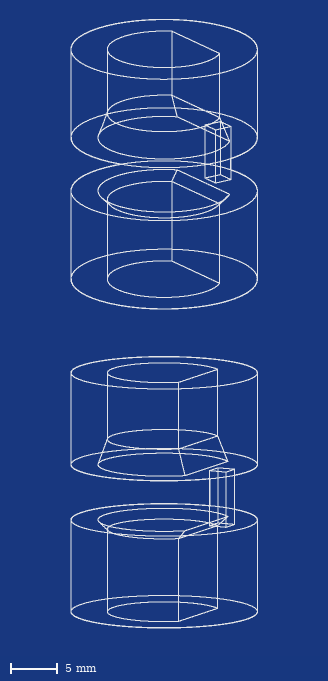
import cadquery as cq

ring_diameter = 20.0
ring_height = 10.0
ring_gap = 6.0
bore_diameter = 12.2
flat_offset = 4.1
mouth_widening = 1.0
lower_mouth_depth = 1.0
upper_mouth_depth = 2.75
bridge_width = 2.0
bridge_center_y = 7.0

bore_radius = bore_diameter / 2
mouth_radius = bore_radius + mouth_widening
mouth_flat_offset = flat_offset + mouth_widening
upper_ring_base = ring_height + ring_gap
total_height = upper_ring_base + ring_height


def ring_blank(base_z):
    """Solid disc standing on base_z, before the bore is cut."""
    return cq.Workplane("XY").workplane(offset=base_z).circle(ring_diameter / 2).extrude(ring_height)


def d_cutter(end_a, end_b):
    """D-shaped cutter with its flat towards +Y.

    Each end is (z, radius, flat offset); the round side is a cylinder or
    cone between the ends and the flat is a plane, upright or sloped.
    """
    z_a, radius_a, flat_a = end_a
    z_b, radius_b, flat_b = end_b
    round_body = (
        cq.Workplane("XZ")
        .polyline([(0, z_a), (radius_a, z_a), (radius_b, z_b), (0, z_b)])
        .close()
        .revolve(360, (0, 0, 0), (0, 1, 0))
    )
    inside_flat = (
        cq.Workplane("YZ")
        .polyline([(-ring_diameter, z_a), (flat_a, z_a), (flat_b, z_b), (-ring_diameter, z_b)])
        .close()
        .extrude(ring_diameter / 2, both=True)
    )
    return round_body.intersect(inside_flat)


def bore():
    """D-shaped bore through the full height."""
    return d_cutter((0, bore_radius, flat_offset), (total_height, bore_radius, flat_offset))


def flared_mouth(mouth_z, inner_z):
    """Widening of the bore from its own size at inner_z to the mouth at mouth_z."""
    return d_cutter((inner_z, bore_radius, flat_offset), (mouth_z, mouth_radius, mouth_flat_offset))


def bridge():
    """Square post across the gap on the +Y side."""
    return (
        cq.Workplane("XY")
        .workplane(offset=ring_height)
        .center(0, bridge_center_y)
        .rect(bridge_width, bridge_width)
        .extrude(ring_gap)
    )


rings = ring_blank(0).union(ring_blank(upper_ring_base)).cut(bore())
rings = rings.cut(flared_mouth(ring_height, ring_height - lower_mouth_depth))
rings = rings.cut(flared_mouth(upper_ring_base, upper_ring_base + upper_mouth_depth))
result = rings.union(bridge())